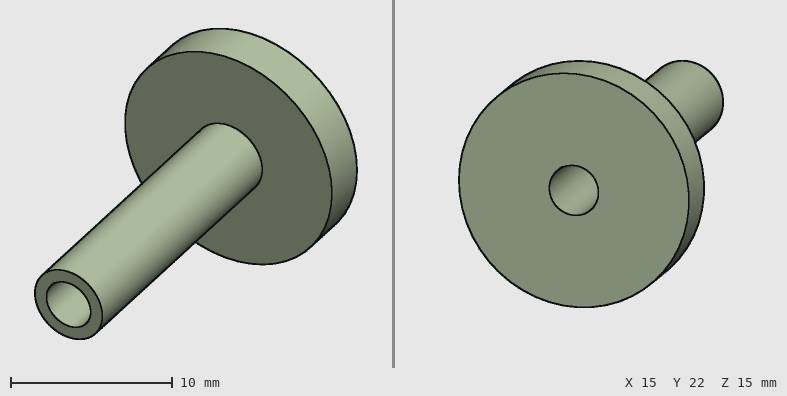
import cadquery as cq

flange_diameter = 15.0
flange_thickness = 3.0
tube_diameter = 4.9
bore_diameter = 3.2
overall_length = 22.0


def cylinder_along_y(diameter, length):
    """Solid cylinder on the Y axis, from the flange's outer face at Y = 0 toward -Y."""
    return cq.Workplane("XZ").circle(diameter / 2).extrude(length)


flange = cylinder_along_y(flange_diameter, flange_thickness)
tube = cylinder_along_y(tube_diameter, overall_length)
bore = cylinder_along_y(bore_diameter, overall_length)

result = flange.union(tube).cut(bore)